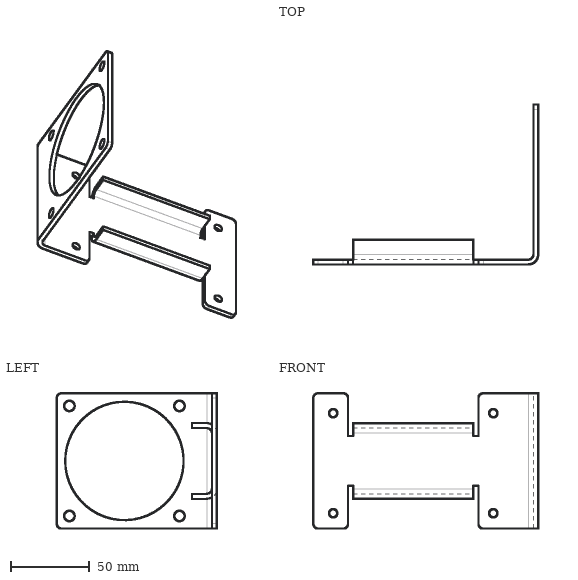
import cadquery as cq

INCH = 25.4

thickness = INCH / 8
inner_bend_radius = thickness
outer_bend_radius = inner_bend_radius + thickness
corner_radius = INCH / 8

base_length = 5.625 * INCH
height = 86.0
plate_reach = 101.65

left_flange_width = 0.875 * INCH
relief_width = INCH / 8
tab_length = 3.0 * INCH
web_height = 1.25 * INCH
tab_start = left_flange_width + relief_width
tab_end = tab_start + tab_length
right_flange_start = tab_end + relief_width

tab_spread = 48.0
tab_reach = 0.625 * INCH

mount_hole_diameter = 5.08
mount_hole_edge = 0.5 * INCH
mount_spacing_x = 4.0 * INCH
mount_spacing_z = 2.5 * INCH
mount_center_z = height / 2 - mount_hole_edge - mount_spacing_z / 2

bore_diameter = 75.0
bore_center_y = plate_reach - height / 2
plate_hole_diameter = 6.5
plate_hole_spacing = 2.75 * INCH


def bent_section(plane, start, end, reach):
    """L-shaped strip: flat from `start`, bent into a leg whose outer face is at `end`."""
    return (
        cq.Workplane(plane)
        .moveTo(start, 0)
        .lineTo(end - outer_bend_radius, 0)
        .radiusArc((end, outer_bend_radius), -outer_bend_radius)
        .lineTo(end, reach)
        .lineTo(end - thickness, reach)
        .lineTo(end - thickness, outer_bend_radius)
        .radiusArc((end - outer_bend_radius, thickness), inner_bend_radius)
        .lineTo(start, thickness)
        .close()
    )


def flat_strip(x_start, x_end, strip_height):
    """Flat block of sheet between two X positions, centred on Z = 0."""
    strip = cq.Workplane("XY", origin=(x_start, 0, 0))
    return strip.box(x_end - x_start, thickness, strip_height, centered=(False, False, True))


def make_left_flange():
    return flat_strip(0, left_flange_width, height).edges("|Y").fillet(corner_radius)


def make_web():
    return flat_strip(left_flange_width, right_flange_start, web_height)


def make_end_bracket():
    """Right flange and end plate, bent from one strip."""
    section = bent_section("XY", right_flange_start, base_length, plate_reach)
    bracket = section.extrude(height / 2, both=True)
    bracket = bracket.edges("|Y and <X").fillet(corner_radius)
    return bracket.edges("|X and >Y").fillet(corner_radius)


def make_upper_tab():
    """Upper half of the web between the reliefs, with its folded tab."""
    section_plane = cq.Plane(origin=(tab_start, 0, 0), xDir=(0, 0, 1), normal=(1, 0, 0))
    return (
        bent_section(section_plane, 0, tab_spread / 2, tab_reach)
        .extrude(tab_length)
        .mirror("XZ")
    )


def make_mount_holes():
    return (
        cq.Workplane("XZ")
        .center(mount_hole_edge + mount_spacing_x / 2, mount_center_z)
        .rect(mount_spacing_x, mount_spacing_z, forConstruction=True)
        .vertices()
        .circle(mount_hole_diameter / 2)
        .extrude(-thickness)
    )


def make_plate_openings():
    plate = cq.Workplane("YZ", origin=(base_length - thickness, bore_center_y, 0))
    bore = plate.circle(bore_diameter / 2).extrude(thickness)
    corner_holes = (
        plate.rect(plate_hole_spacing, plate_hole_spacing, forConstruction=True)
        .vertices()
        .circle(plate_hole_diameter / 2)
        .extrude(thickness)
    )
    return bore.union(corner_holes)


upper_tab = make_upper_tab()
lower_tab = upper_tab.mirror("XY")

body = make_left_flange().union(make_web()).union(make_end_bracket())
body = body.union(upper_tab).union(lower_tab)
result = body.cut(make_mount_holes()).cut(make_plate_openings()).clean()